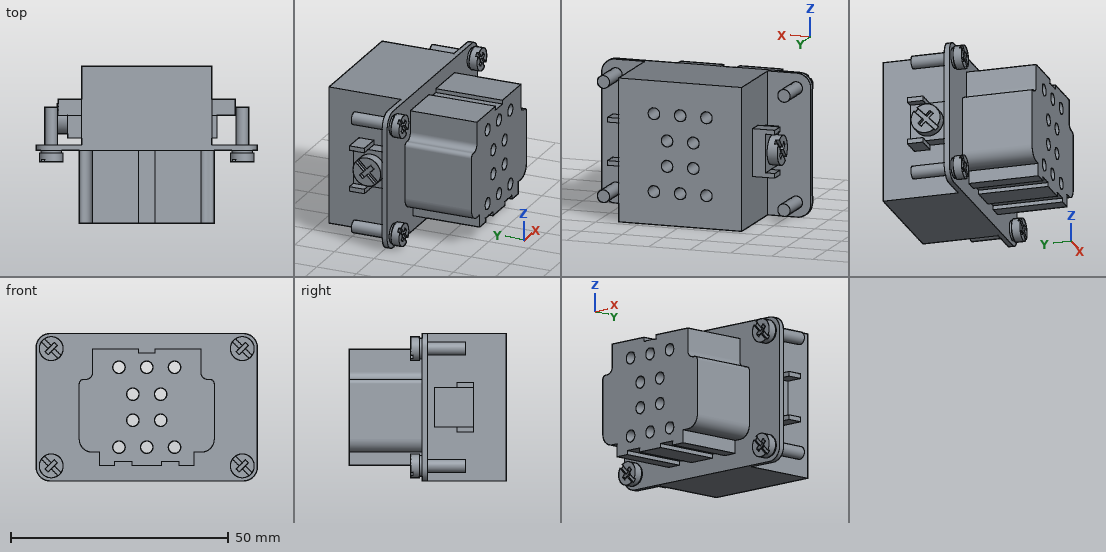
import cadquery as cq


flange_width = 51.0
flange_height = 34.0
flange_thickness = 1.25
flange_corner_radius = 3.25
body_width = 30.0
body_end = 19.4

plug_length = 16.8
plug_half_height = 13.4
plug_top_half_width = 12.45
plug_half_width = 15.55
plug_foot_half_width = 10.9
shoulder_z = 6.4
shoulder_inner_radius = 1.6
shoulder_outer_radius = 1.0
ledge_z = -10.35
ledge_radius = 3.0
key_depth = 0.95
top_key_width = 3.9
foot_key_width = 4.0
foot_key_x = 5.45

contact_diameter = 2.8
contact_pitch = 6.4
outer_row_z = 9.2
inner_row_z = 3.0

fixing_x = 22.0
fixing_z = 13.5
shank_diameter = 3.0
shank_end = 9.95
neck_diameter = 4.8
neck_length = 0.6
fixing_head_diameter = 5.5
fixing_head_height = 2.05
fixing_slot_width = 1.0
fixing_slot_depth = 0.55
fixing_cross_depth = 1.2
fixing_cross_length = 3.0

cheek_start = 8.05
cheek_end = 11.8
cheek_reach = 20.4
cheek_half_height = 5.65
terminal_start = 2.8
terminal_half_height = 4.55
left_terminal_reach = 18.2
right_terminal_reach = 16.2
earth_head_diameter = 7.0
earth_head_reach = 20.7
earth_head_y = (terminal_start + cheek_end) / 2
earth_slot_width = 1.1
earth_slot_depth = 0.9
earth_cross_depth = earth_slot_depth
earth_cross_length = 4.0

slot_angle = 45.0


def box_between(x_range, y_range, z_range):
    """Axis-aligned box from (low, high) pairs."""
    lows, highs = zip(x_range, y_range, z_range)
    sizes = [high - low for low, high in zip(lows, highs)]
    return cq.Workplane("XY").box(*sizes, centered=False).translate(lows)


def make_flange():
    plate = cq.Workplane("XY").box(flange_width, flange_thickness, flange_height)
    plate = plate.edges("|Y").fillet(flange_corner_radius)
    return plate.translate((0, flange_thickness / 2, 0))


def make_body():
    half_width = body_width / 2
    half_height = flange_height / 2
    return box_between((-half_width, half_width), (0, body_end), (-half_height, half_height))


def make_plug():
    """Stepped plug profile, drawn as the right half and mirrored."""
    half = (
        cq.Workplane("XZ")
        .moveTo(0, plug_half_height)
        .lineTo(plug_top_half_width, plug_half_height)
        .lineTo(plug_top_half_width, shoulder_z + shoulder_inner_radius)
        .radiusArc((plug_top_half_width + shoulder_inner_radius, shoulder_z), -shoulder_inner_radius)
        .lineTo(plug_half_width - shoulder_outer_radius, shoulder_z)
        .radiusArc((plug_half_width, shoulder_z - shoulder_outer_radius), shoulder_outer_radius)
        .lineTo(plug_half_width, ledge_z + ledge_radius)
        .radiusArc((plug_half_width - ledge_radius, ledge_z), ledge_radius)
        .lineTo(plug_foot_half_width, ledge_z)
        .lineTo(plug_foot_half_width, -plug_half_height)
        .lineTo(0, -plug_half_height)
        .close()
        .extrude(plug_length)
    )
    return half.union(half.mirror("YZ"))


def make_key_groove(center_x, width, z_range):
    x_range = (center_x - width / 2, center_x + width / 2)
    return box_between(x_range, (-plug_length, 0), z_range)


def make_contact_holes():
    outer_x = (-contact_pitch, 0, contact_pitch)
    inner_x = (-contact_pitch / 2, contact_pitch / 2)
    rows = (
        (outer_row_z, outer_x),
        (inner_row_z, inner_x),
        (-inner_row_z, inner_x),
        (-outer_row_z, outer_x),
    )
    points = [(x, z) for z, row_x in rows for x in row_x]
    return (
        cq.Workplane("XZ", origin=(0, body_end, 0))
        .pushPoints(points)
        .circle(contact_diameter / 2)
        .extrude(body_end + plug_length)
    )


def make_screw_head(diameter, height, slot_width, slot_depth, cross_length, cross_depth):
    """Head standing on Z = 0, with a full-width slot along X crossed by a shorter slot along Y."""
    head = cq.Workplane("XY").circle(diameter / 2).extrude(height)
    top = cq.Workplane("XY", origin=(0, 0, height))
    slot = top.rect(diameter, slot_width).extrude(-slot_depth)
    cross = top.rect(slot_width, cross_length).extrude(-cross_depth)
    return head.cut(slot).cut(cross)


def make_fixing_screw():
    """Screw on the Y axis with its head in front of the flange."""
    head = make_screw_head(
        fixing_head_diameter,
        fixing_head_height,
        fixing_slot_width,
        fixing_slot_depth,
        fixing_cross_length,
        fixing_cross_depth,
    )
    head = head.rotate((0, 0, 0), (0, 0, 1), -slot_angle)
    head = head.rotate((0, 0, 0), (1, 0, 0), 90).translate((0, -neck_length, 0))
    neck = cq.Workplane("XZ").circle(neck_diameter / 2).extrude(neck_length)
    shank = cq.Workplane("XZ").circle(shank_diameter / 2).extrude(-shank_end)
    return head.union(neck).union(shank)


def make_terminal(reach):
    """Terminal block between two cheeks, on the +X side."""
    side = body_width / 2
    terminal = box_between(
        (side, reach), (terminal_start, cheek_end), (-terminal_half_height, terminal_half_height)
    )
    cheek = box_between(
        (side, cheek_reach), (cheek_start, cheek_end), (terminal_half_height, cheek_half_height)
    )
    return terminal.union(cheek).union(cheek.mirror("XY"))


def make_earth_screw():
    head = make_screw_head(
        earth_head_diameter,
        earth_head_reach - left_terminal_reach,
        earth_slot_width,
        earth_slot_depth,
        earth_cross_length,
        earth_cross_depth,
    )
    head = head.rotate((0, 0, 0), (0, 0, 1), slot_angle).rotate((0, 0, 0), (0, 1, 0), -90)
    return head.translate((-left_terminal_reach, earth_head_y, 0))


result = make_flange().union(make_body()).union(make_plug())

top_key_range = (plug_half_height - key_depth, plug_half_height)
foot_key_range = (-plug_half_height, key_depth - plug_half_height)
result = result.cut(make_key_groove(0, top_key_width, top_key_range))
for key_x in (-foot_key_x, foot_key_x):
    result = result.cut(make_key_groove(key_x, foot_key_width, foot_key_range))

result = result.cut(make_contact_holes())

fixing_screw = make_fixing_screw()
for screw_x in (-fixing_x, fixing_x):
    for screw_z in (-fixing_z, fixing_z):
        result = result.union(fixing_screw.translate((screw_x, 0, screw_z)))

result = result.union(make_terminal(right_terminal_reach))
result = result.union(make_terminal(left_terminal_reach).mirror("YZ"))
result = result.union(make_earth_screw())